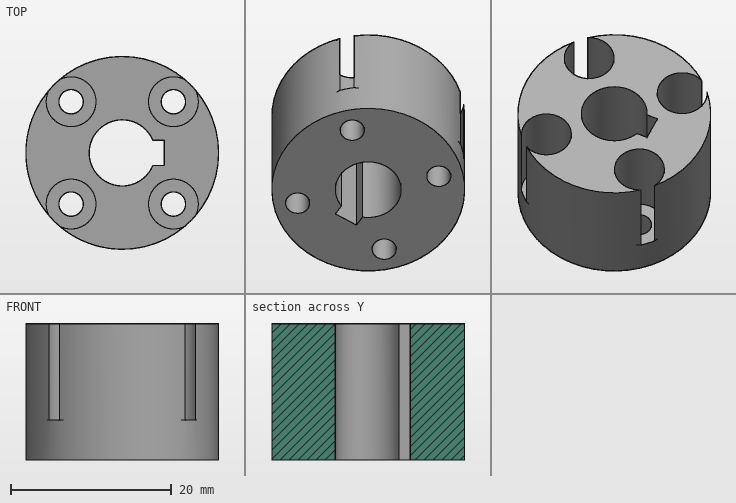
import cadquery as cq
import math

body_diameter = 24.0
body_height = 17.0

bore_diameter = 8.2
keyway_width = 3.1
keyway_reach = 5.2

screw_count = 4
screw_circle_diameter = 18.0
screw_start_angle = 45.0
screw_hole_diameter = 3.0
counterbore_diameter = 6.2
counterbore_depth = 12.0


def make_body():
    """Plain cylinder standing on the XY plane."""
    return cq.Workplane("XY").circle(body_diameter / 2).extrude(body_height)


def make_keyed_bore():
    """Through bore joined with a rectangular keyway on its +X side."""
    bore = cq.Workplane("XY").circle(bore_diameter / 2).extrude(body_height)
    keyway = (
        cq.Workplane("XY")
        .center(keyway_reach / 2, 0)
        .rect(keyway_reach, keyway_width)
        .extrude(body_height)
    )
    return bore.union(keyway)


def make_screw_hole(angle_degrees):
    """Through hole with a counterbore sunk from the top face."""
    angle = math.radians(angle_degrees)
    radius = screw_circle_diameter / 2
    x = radius * math.cos(angle)
    y = radius * math.sin(angle)
    shank = cq.Workplane("XY").center(x, y).circle(screw_hole_diameter / 2).extrude(body_height)
    counterbore = (
        cq.Workplane("XY", origin=(0, 0, body_height - counterbore_depth))
        .center(x, y)
        .circle(counterbore_diameter / 2)
        .extrude(counterbore_depth)
    )
    return shank.union(counterbore)


result = make_body().cut(make_keyed_bore())
for index in range(screw_count):
    result = result.cut(make_screw_hole(screw_start_angle + index * 360.0 / screw_count))